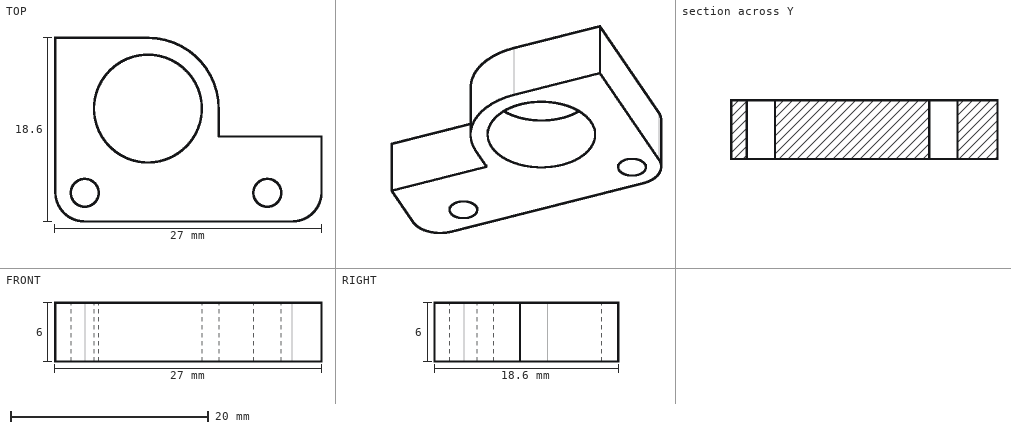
import cadquery as cq

length = 27.0
width = 18.63
thickness = 6.0
corner_radius = 3.0

bore_diameter = 10.9
lobe_radius = 7.18
bore_x = 9.4
bore_y = width - lobe_radius
lobe_right = bore_x + lobe_radius

arm_width = 8.65

mount_diameter = 2.8
mount_spacing = 18.5
mount_x = corner_radius
mount_y = 2.92


def make_plate():
    """L-shaped plate with a quarter-round lobe and rounded front corners."""
    outline = (
        cq.Workplane("XY")
        .lineTo(length, 0)
        .lineTo(length, arm_width)
        .lineTo(lobe_right, arm_width)
        .lineTo(lobe_right, bore_y)
        .radiusArc((bore_x, width), -lobe_radius)
        .lineTo(0, width)
        .close()
    )
    plate = outline.extrude(thickness)
    return plate.edges("|Z and <Y").fillet(corner_radius)


def make_through_holes(points, diameter):
    """Cylinders through the full plate thickness."""
    return cq.Workplane("XY").pushPoints(points).circle(diameter / 2).extrude(thickness)


mount_points = [(mount_x, mount_y), (mount_x + mount_spacing, mount_y)]

result = (
    make_plate()
    .cut(make_through_holes([(bore_x, bore_y)], bore_diameter))
    .cut(make_through_holes(mount_points, mount_diameter))
)